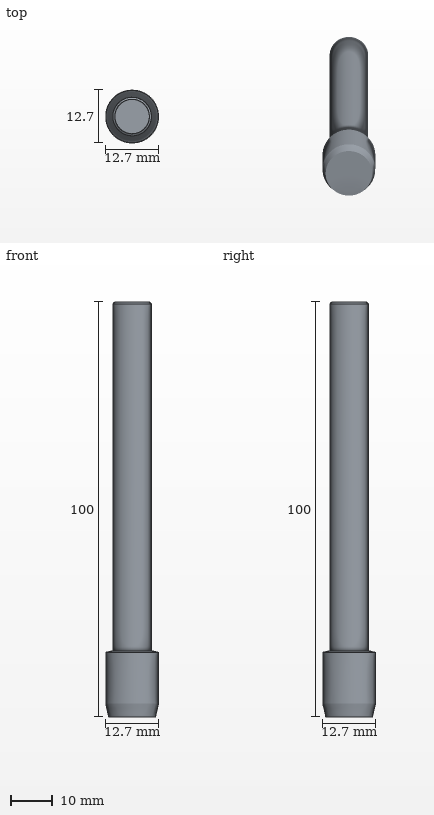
import cadquery as cq

total_length = 100.0
head_radius = 12.7 / 2
shank_radius = 9.3 / 2

lead_in_height = 3.2
lead_in_end_radius = 11.2 / 2
head_cylinder_top = 15.6
head_height = 16.0

bevel_size = 0.5


def make_head():
    """Solid head, revolved from its half profile in the XZ plane."""
    return (
        cq.Workplane("XZ")
        .lineTo(lead_in_end_radius, 0)
        .lineTo(head_radius, lead_in_height)
        .lineTo(head_radius, head_cylinder_top)
        .lineTo(shank_radius, head_height)
        .lineTo(0, head_height)
        .close()
        .revolve(360, (0, 0), (0, 1))
    )


def make_shank():
    """Long round shank that stands on the flat top of the head."""
    bevel_start = total_length - bevel_size
    return (
        cq.Workplane("XZ")
        .moveTo(0, head_height)
        .lineTo(shank_radius, head_height)
        .lineTo(shank_radius, bevel_start)
        .lineTo(shank_radius - bevel_size, total_length)
        .lineTo(0, total_length)
        .close()
        .revolve(360, (0, 0), (0, 1))
    )


head = make_head()
shank = make_shank()

result = cq.Compound.makeCompound([head.val(), shank.val()])